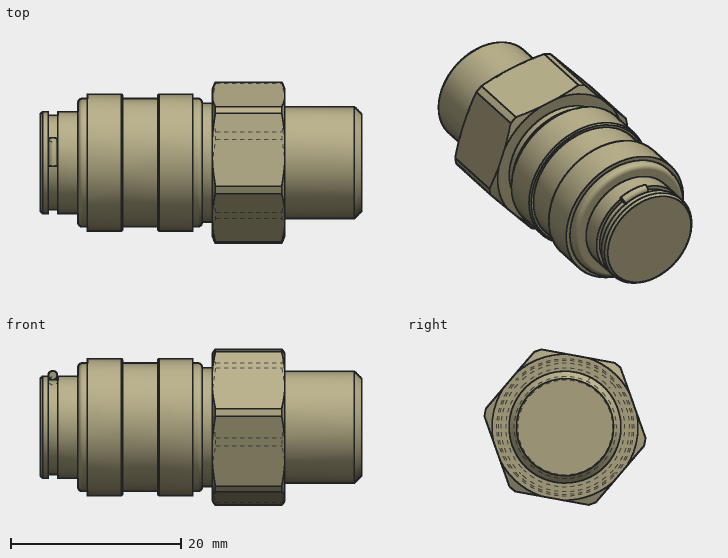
import cadquery as cq
import math

total_length = 37.8

spigot_diameter = 12.0
spigot_end_diameter = 11.45
spigot_chamfer_length = 0.3
groove_start = 0.95
groove_end = 2.08
groove_diameter = 11.15

sleeve_start = 4.42
sleeve_end = 19.05
sleeve_diameter = 15.1
sleeve_fillet = 0.55
collar_diameter = 16.15
collar_length = 4.15
collar_starts = (5.55, 13.8)
collar_chamfer = 0.2
neck_diameter = 14.0

hex_start = 20.2
hex_end = 28.75
hex_across_flats = 17.0
hex_corner_diameter = 19.12
hex_tilt = 10.4
hex_bevel_length = 0.38
hex_bevel_depth = 1.0

rear_diameter = 13.15
rear_end_diameter = 11.4
rear_chamfer_length = 0.87

wire_diameter = 1.05
wire_start_angle = -3.7
wire_end_angle = 26.3


def cylinder(start, end, diameter):
    return cq.Workplane("YZ", origin=(start, 0, 0)).circle(diameter / 2).extrude(end - start)


def turned(points):
    """Revolve a closed outline of (x, radius) points about the X axis."""
    return cq.Workplane("XY").polyline(points).close().revolve(360, (0, 0, 0), (1, 0, 0))


def make_front_spigot():
    radius = spigot_diameter / 2
    groove_radius = groove_diameter / 2
    return turned([
        (0, 0),
        (0, spigot_end_diameter / 2),
        (spigot_chamfer_length, radius),
        (groove_start, radius),
        (groove_start, groove_radius),
        (groove_end, groove_radius),
        (groove_end, radius),
        (sleeve_start, radius),
        (sleeve_start, 0),
    ])


def make_sleeve():
    sleeve = cylinder(sleeve_start, sleeve_end, sleeve_diameter).edges().fillet(sleeve_fillet)
    front_collar_start, rear_collar_start = collar_starts
    front_collar = cylinder(front_collar_start, front_collar_start + collar_length, collar_diameter)
    rear_collar = cylinder(rear_collar_start, rear_collar_start + collar_length, collar_diameter)
    front_collar = front_collar.faces(">X").chamfer(collar_chamfer)
    rear_collar = rear_collar.faces("<X").chamfer(collar_chamfer)
    return sleeve.union(front_collar).union(rear_collar)


def make_hexagon():
    """Hexagon with its corners turned down and both ends bevelled."""
    point_diameter = hex_across_flats / math.cos(math.radians(30))
    prism = (
        cq.Workplane("YZ", origin=(hex_start, 0, 0))
        .polygon(6, point_diameter)
        .extrude(hex_end - hex_start)
        .rotate((0, 0, 0), (1, 0, 0), -hex_tilt)
    )
    corner_radius = hex_corner_diameter / 2
    end_radius = corner_radius - hex_bevel_depth
    envelope = turned([
        (hex_start, 0),
        (hex_start, end_radius),
        (hex_start + hex_bevel_length, corner_radius),
        (hex_end - hex_bevel_length, corner_radius),
        (hex_end, end_radius),
        (hex_end, 0),
    ])
    return prism.intersect(envelope)


def make_rear_spigot():
    radius = rear_diameter / 2
    return turned([
        (hex_end, 0),
        (hex_end, radius),
        (total_length - rear_chamfer_length, radius),
        (total_length, rear_end_diameter / 2),
        (total_length, 0),
    ])


def make_fitting():
    neck = cylinder(sleeve_end, hex_start, neck_diameter)
    return make_front_spigot().union(make_sleeve()).union(neck).union(make_hexagon()).union(make_rear_spigot())


def make_retaining_wire():
    """Wire resting on the groove floor and against the groove's front wall."""
    wire_radius = wire_diameter / 2
    centre_x = groove_start + wire_radius
    centre_radius = groove_diameter / 2 + wire_radius
    wire = (
        cq.Workplane("XZ")
        .center(centre_x, centre_radius)
        .circle(wire_radius)
        .revolve(wire_end_angle - wire_start_angle, (0, -centre_radius, 0), (-1, -centre_radius, 0))
    )
    return wire.rotate((0, 0, 0), (1, 0, 0), -wire_start_angle)


fitting = make_fitting()
retaining_wire = make_retaining_wire()

result = cq.Compound.makeCompound([fitting.val(), retaining_wire.val()])